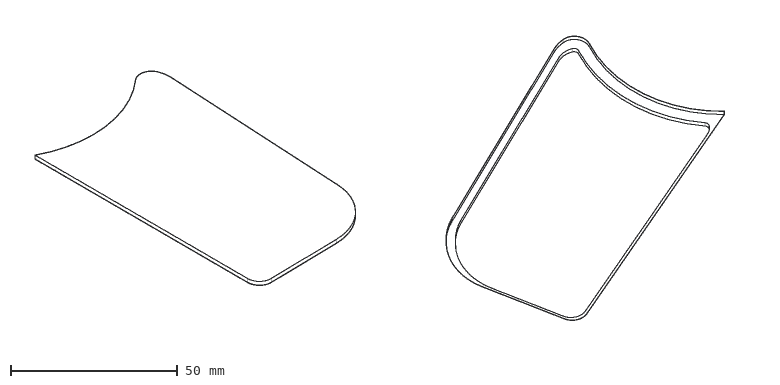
import cadquery as cq
import math

LENGTH = 100.68
WIDTH = 56.71
PLATE_THICKNESS = 1.5
STEP_THICKNESS = 1.5

SCALLOP_CENTRE = (-31.05, 20.35)
SCALLOP_RADIUS = 42.6

LARGE_CORNER_RADIUS = 20.0
SMALL_CORNER_RADIUS = 5.0

PLATE_NOSE_RADIUS = 4.9
PLATE_BLEND_RADIUS = 12.5
STEP_NOSE_RADIUS = 1.5
STEP_BLEND_RADIUS = 7.0

STEP_HEEL_Y = 3.15

STEP_INSET_SCALLOP = 3.55
STEP_INSET_RIGHT = 2.0
STEP_INSET_TOP = 2.2
STEP_INSET_BOTTOM = 1.5

TOP_EDGE_SLOPE_DEGREES = 3.03
RIGHT = 0.0
TOP = math.radians(90 - TOP_EDGE_SLOPE_DEGREES)
UP = math.radians(90)
LEFT = math.radians(180)
DOWN = math.radians(-90)

NOSE_Y = SCALLOP_CENTRE[1] + math.sqrt(
    (SCALLOP_RADIUS + PLATE_NOSE_RADIUS) ** 2 - (PLATE_NOSE_RADIUS - SCALLOP_CENTRE[0]) ** 2
)


def polar(centre, radius, angle):
    """Point on a circle at the given angle."""
    return (centre[0] + radius * math.cos(angle), centre[1] + radius * math.sin(angle))


def direction(start, end):
    """Angle of the ray from start to end."""
    return math.atan2(end[1] - start[1], end[0] - start[0])


def distance_along(point, angle):
    """Distance of a point from the origin, measured in the given direction."""
    return point[0] * math.cos(angle) + point[1] * math.sin(angle)


def add_arc(path, centre, radius, start_angle, end_angle):
    """Continue the path along a circle, from its current end at start_angle to end_angle."""
    middle = polar(centre, radius, (start_angle + end_angle) / 2)
    return path.threePointArc(middle, polar(centre, radius, end_angle))


def beside_scallop(y, scallop_radius, radius):
    """Centre at height y of a circle that touches the scallop from inside the part."""
    reach = scallop_radius + radius
    return (SCALLOP_CENTRE[0] + math.sqrt(reach**2 - (y - SCALLOP_CENTRE[1]) ** 2), y)


def blend_centre(nose, nose_radius, blend_radius, edge_normal, edge_distance):
    """Centre of the arc, right of the nose, that is tangent to the nose arc and to a straight edge."""
    inward = edge_distance - blend_radius - distance_along(nose, edge_normal)
    sideways = math.sqrt((blend_radius - nose_radius) ** 2 - inward**2)
    along_edge = edge_normal - UP if edge_normal > 0 else edge_normal + UP
    return polar(polar(nose, inward, edge_normal), sideways, along_edge)


def plate_top_distance():
    """Distance of the plate's top edge from the origin, so that its blend arc peaks at Y = WIDTH."""
    centre = blend_centre(
        (PLATE_NOSE_RADIUS, NOSE_Y), PLATE_NOSE_RADIUS, PLATE_BLEND_RADIUS, UP, WIDTH
    )
    return distance_along(centre, TOP) + PLATE_BLEND_RADIUS


def right_end(path, bottom, right, top_distance):
    """Run from the bottom edge round both right-hand corners to the start of the top edge."""
    small = (right - SMALL_CORNER_RADIUS, bottom + SMALL_CORNER_RADIUS)
    large_x = right - LARGE_CORNER_RADIUS
    large_y = (top_distance - LARGE_CORNER_RADIUS - large_x * math.cos(TOP)) / math.sin(TOP)
    large = (large_x, large_y)

    path = path.lineTo(*polar(small, SMALL_CORNER_RADIUS, DOWN))
    path = add_arc(path, small, SMALL_CORNER_RADIUS, DOWN, RIGHT)
    path = path.lineTo(*polar(large, LARGE_CORNER_RADIUS, RIGHT))
    return add_arc(path, large, LARGE_CORNER_RADIUS, RIGHT, TOP)


def tip(path, top_distance, scallop_radius, nose_radius, blend_radius):
    """Run along the top edge and round the tip to the upper end of the scallop."""
    nose = beside_scallop(NOSE_Y, scallop_radius, nose_radius)
    blend = blend_centre(nose, nose_radius, blend_radius, TOP, top_distance)
    switch = direction(blend, nose)
    nose_end = LEFT + direction(SCALLOP_CENTRE, nose)

    path = path.lineTo(*polar(blend, blend_radius, TOP))
    path = add_arc(path, blend, blend_radius, TOP, switch)
    return add_arc(path, nose, nose_radius, switch, nose_end)


def scallop(path, scallop_radius, end_angle):
    """Run down the scallop from the tip to the given angle on its circle."""
    start_angle = direction(SCALLOP_CENTRE, path.val().endPoint().toTuple())
    return add_arc(path, SCALLOP_CENTRE, scallop_radius, start_angle, end_angle)


def plate_outline():
    """Plate outline, with a sharp corner where the scallop meets the bottom edge."""
    corner_angle = -math.asin(SCALLOP_CENTRE[1] / SCALLOP_RADIUS)
    top_distance = plate_top_distance()

    path = cq.Workplane("XY").moveTo(*polar(SCALLOP_CENTRE, SCALLOP_RADIUS, corner_angle))
    path = right_end(path, 0, LENGTH, top_distance)
    path = tip(path, top_distance, SCALLOP_RADIUS, PLATE_NOSE_RADIUS, PLATE_BLEND_RADIUS)
    return scallop(path, SCALLOP_RADIUS, corner_angle).close()


def step_outline():
    """Step outline, set back from the plate and rounded at the heel."""
    scallop_radius = SCALLOP_RADIUS + STEP_INSET_SCALLOP
    top_distance = plate_top_distance() - STEP_INSET_TOP
    heel = beside_scallop(STEP_HEEL_Y, scallop_radius, STEP_NOSE_RADIUS)
    blend = blend_centre(heel, STEP_NOSE_RADIUS, STEP_BLEND_RADIUS, DOWN, -STEP_INSET_BOTTOM)
    scallop_end = direction(SCALLOP_CENTRE, heel)
    switch = direction(blend, heel)

    path = cq.Workplane("XY").moveTo(*polar(blend, STEP_BLEND_RADIUS, DOWN))
    path = right_end(path, STEP_INSET_BOTTOM, LENGTH - STEP_INSET_RIGHT, top_distance)
    path = tip(path, top_distance, scallop_radius, STEP_NOSE_RADIUS, STEP_BLEND_RADIUS)
    path = scallop(path, scallop_radius, scallop_end)
    path = add_arc(path, heel, STEP_NOSE_RADIUS, scallop_end - LEFT, switch)
    return add_arc(path, blend, STEP_BLEND_RADIUS, switch, DOWN).close()


step = step_outline().extrude(STEP_THICKNESS)
plate = plate_outline().extrude(PLATE_THICKNESS).translate((0, 0, STEP_THICKNESS))
result = step.union(plate)